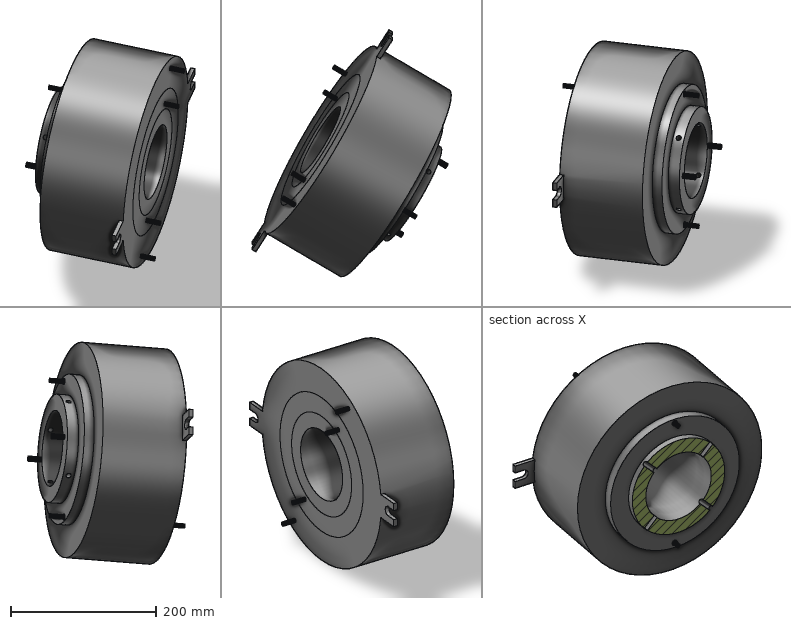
import cadquery as cq
import math

HOUSING_LENGTH = 120
COLLAR_STEP = 14
HUB_STEP = 16
COLLAR_LENGTH = HOUSING_LENGTH + COLLAR_STEP
HUB_LENGTH = COLLAR_LENGTH + HUB_STEP

BORE_DIAMETER = 105
HUB_DIAMETER = 150
COLLAR_DIAMETER = 208
HOUSING_DIAMETER = 298

STRAND_RINGS = 2
STRANDS_PER_RING_STEP = 6
STRAND_FILL = 0.96
HUB_STRAND_PITCH = 1.5
HUB_LEAD_LENGTH = 18
HUB_LEAD_RADIUS = 58.5
STRAND_PITCH = 1.25
LEAD_LENGTH = 20
COLLAR_FRONT_LEAD_RADIUS = 97
COLLAR_BACK_LEAD_RADIUS = 83.5
HOUSING_LEAD_RADIUS = 134.5
HUB_LEAD_ANGLES = (0, 180)
COLLAR_FRONT_LEAD_ANGLES = (90, 270)
BACK_LEAD_ANGLES = (60, 240)

LEAD_RECESS_DIAMETER = 8
LEAD_RECESS_DEPTH = 1

SCREW_HOLE_DIAMETER = 7
SCREW_HOLE_ANGLES = (45, 135, 225, 315)

LUG_SPAN = 360
LUG_WIDTH = 36
LUG_THICKNESS = 6
SLOT_WIDTH = 14
SLOT_DEPTH = 21


def ring(outer_diameter, inner_diameter, length):
    """Ring about the X axis, reaching from X = 0 forward to X = -length."""
    return (
        cq.Workplane("YZ")
        .circle(outer_diameter / 2)
        .circle(inner_diameter / 2)
        .extrude(-length)
    )


def polar(radius, angle):
    """Point in the YZ plane at an angle from +Y towards +Z."""
    return (radius * math.cos(math.radians(angle)), radius * math.sin(math.radians(angle)))


def cylinders(start_x, length, diameter, centers):
    """Cylinders along X on the given YZ centers; a negative length makes them point forward."""
    return (
        cq.Workplane("YZ", origin=(start_x, 0, 0))
        .pushPoints(centers)
        .circle(diameter / 2)
        .extrude(length)
    )


def strand_centers(center, pitch):
    """Centers of the strands in one lead: the middle strand and the rings around it."""
    y, z = center
    centers = [center]
    for ring_number in range(1, STRAND_RINGS + 1):
        count = STRANDS_PER_RING_STEP * ring_number
        for i in range(count):
            dy, dz = polar(ring_number * pitch, 360 * i / count)
            centers.append((y + dy, z + dz))
    return centers


def leads(start_x, length, pitch, radius, angles):
    """All strands of the leads that stand at the given angles on one circle."""
    centers = []
    for angle in angles:
        centers += strand_centers(polar(radius, angle), pitch)
    return cylinders(start_x, length, pitch * STRAND_FILL, centers)


def screw_hole(angle):
    """Radial cutter from the axis out through the hub wall, midway along the hub step."""
    return (
        cq.Workplane("XZ", origin=(HUB_STEP / 2 - HUB_LENGTH, 0, 0))
        .circle(SCREW_HOLE_DIAMETER / 2)
        .extrude(-HUB_DIAMETER)
        .rotate((0, 0, 0), (1, 0, 0), angle)
    )


def make_hub():
    hub = ring(HUB_DIAMETER, BORE_DIAMETER, HUB_LENGTH)
    for angle in SCREW_HOLE_ANGLES:
        hub = hub.cut(screw_hole(angle))
    return hub.union(
        leads(-HUB_LENGTH, -HUB_LEAD_LENGTH, HUB_STRAND_PITCH, HUB_LEAD_RADIUS, HUB_LEAD_ANGLES)
    )


def make_collar():
    collar = ring(COLLAR_DIAMETER, HUB_DIAMETER, COLLAR_LENGTH)
    recess_centers = [polar(COLLAR_FRONT_LEAD_RADIUS, angle) for angle in COLLAR_FRONT_LEAD_ANGLES]
    collar = collar.cut(
        cylinders(-COLLAR_LENGTH, LEAD_RECESS_DEPTH, LEAD_RECESS_DIAMETER, recess_centers)
    )
    front_leads = leads(
        LEAD_RECESS_DEPTH - COLLAR_LENGTH,
        -LEAD_RECESS_DEPTH - LEAD_LENGTH,
        STRAND_PITCH,
        COLLAR_FRONT_LEAD_RADIUS,
        COLLAR_FRONT_LEAD_ANGLES,
    )
    back_leads = leads(0, LEAD_LENGTH, STRAND_PITCH, COLLAR_BACK_LEAD_RADIUS, BACK_LEAD_ANGLES)
    return collar.union(front_leads).union(back_leads)


def lug_bar():
    """Bar across the housing whose two slotted ends form the lugs, open inside for the ring."""
    bar = cq.Workplane("YZ").rect(LUG_SPAN, LUG_WIDTH).extrude(-LUG_THICKNESS)
    slots = (
        cq.Workplane("YZ")
        .pushPoints([(-LUG_SPAN / 2, 0), (LUG_SPAN / 2, 0)])
        .slot2D(2 * SLOT_DEPTH, SLOT_WIDTH)
        .extrude(-LUG_THICKNESS)
    )
    opening = cq.Workplane("YZ").circle(COLLAR_DIAMETER / 2).extrude(-LUG_THICKNESS)
    return bar.cut(slots).cut(opening)


def make_housing():
    housing = ring(HOUSING_DIAMETER, COLLAR_DIAMETER, HOUSING_LENGTH).union(lug_bar())
    return housing.union(
        leads(0, LEAD_LENGTH, STRAND_PITCH, HOUSING_LEAD_RADIUS, BACK_LEAD_ANGLES)
    )


hub = make_hub()
collar = make_collar()
housing = make_housing()

result = cq.Compound.makeCompound([hub.val(), collar.val(), housing.val()])